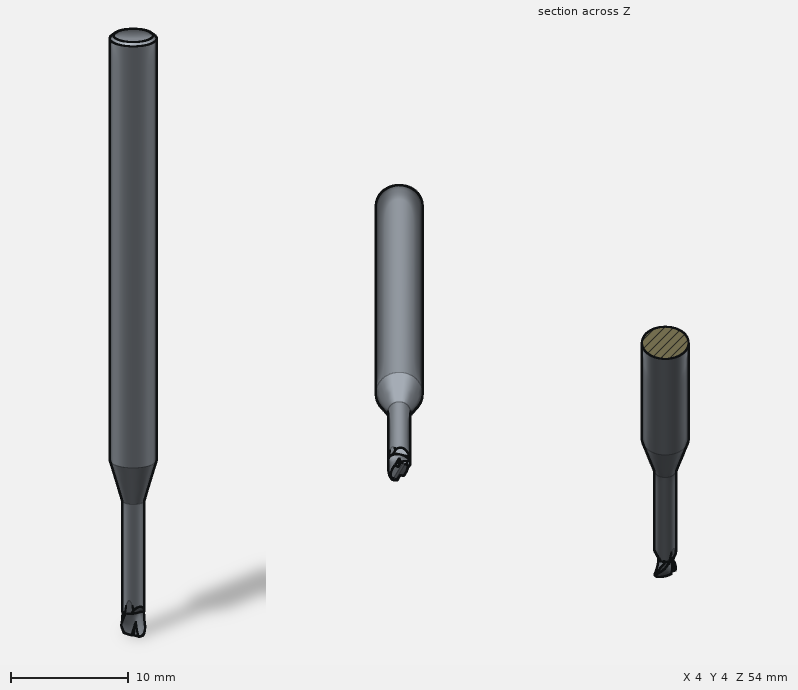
import cadquery as cq
import math

TOTAL_LENGTH = 54.0
SHANK_RADIUS = 2.0
END_CHAMFER_WIDTH = 0.3
END_CHAMFER_HEIGHT = 0.25
TAPER_TOP = 15.7
TAPER_BOTTOM = 12.05
NECK_RADIUS = 0.945

HEAD_HEIGHT = 2.1
HEAD_RADIUS = 1.1
CORNER_RADIUS = 0.3
LAND_HEIGHT = 0.55
LAND_TAPER_END = 1.3
WEB_HALF_THICKNESS = 0.6
HEAD_TWIST = 75.0
TIP_RIDGE_HALF_WIDTH = 0.1
TIP_SLOPE_RISE = 0.25
GASH_DEPTH_FROM_AXIS = 0.25
GASH_INNER_LOW = 0.25
GASH_INNER_HIGH = 0.55
GASH_HEIGHT = 1.3

FLUTE_RUNOUT_TOP = 2.75
FLUTE_RUNOUT_ANGLE = HEAD_TWIST - 90.0
FACET_TOP = 3.35
FACET_DEPTH = 0.1
FACET_ANGLE = -70.0


def runout_cutter(inner_radius, top_height, angle):
    """Wedge that leans outward from inner_radius until it leaves the neck at top_height."""
    wedge = (
        cq.Workplane("XZ")
        .moveTo(inner_radius, HEAD_HEIGHT)
        .lineTo(NECK_RADIUS, top_height)
        .lineTo(NECK_RADIUS, HEAD_HEIGHT)
        .close()
        .extrude(NECK_RADIUS, both=True)
    )
    return wedge.rotate((0, 0, 0), (0, 0, 1), angle)


def make_shank():
    """Round shank, taper and neck, with two opposite sets of flute run-outs."""
    shank = (
        cq.Workplane("XZ")
        .moveTo(0, HEAD_HEIGHT)
        .lineTo(NECK_RADIUS, HEAD_HEIGHT)
        .lineTo(NECK_RADIUS, TAPER_BOTTOM)
        .lineTo(SHANK_RADIUS, TAPER_TOP)
        .lineTo(SHANK_RADIUS, TOTAL_LENGTH - END_CHAMFER_HEIGHT)
        .lineTo(SHANK_RADIUS - END_CHAMFER_WIDTH, TOTAL_LENGTH)
        .lineTo(0, TOTAL_LENGTH)
        .close()
        .revolve(360, (0, 0, 0), (0, 1, 0))
    )
    for turn in (0.0, 180.0):
        shank = shank.cut(runout_cutter(WEB_HALF_THICKNESS, FLUTE_RUNOUT_TOP, FLUTE_RUNOUT_ANGLE + turn))
        shank = shank.cut(runout_cutter(NECK_RADIUS - FACET_DEPTH, FACET_TOP, FACET_ANGLE + turn))
    return shank


def make_head_envelope():
    """Turned outline of the head: rounded corner, cylindrical land and tapered back."""
    corner_offset = CORNER_RADIUS * math.sqrt(0.5)
    arc_middle = (HEAD_RADIUS - CORNER_RADIUS + corner_offset, CORNER_RADIUS - corner_offset)
    return (
        cq.Workplane("XZ")
        .lineTo(HEAD_RADIUS - CORNER_RADIUS, 0)
        .threePointArc(arc_middle, (HEAD_RADIUS, CORNER_RADIUS))
        .lineTo(HEAD_RADIUS, LAND_HEIGHT)
        .lineTo(NECK_RADIUS, LAND_TAPER_END)
        .lineTo(NECK_RADIUS, HEAD_HEIGHT)
        .lineTo(0, HEAD_HEIGHT)
        .close()
        .revolve(360, (0, 0, 0), (0, 1, 0))
    )


def make_tip_roof():
    """Prism along X whose underside rises to both sides of a narrow ridge."""
    return (
        cq.Workplane("YZ")
        .moveTo(-TIP_RIDGE_HALF_WIDTH, 0)
        .lineTo(TIP_RIDGE_HALF_WIDTH, 0)
        .lineTo(HEAD_RADIUS, TIP_SLOPE_RISE)
        .lineTo(HEAD_RADIUS, HEAD_HEIGHT)
        .lineTo(-HEAD_RADIUS, HEAD_HEIGHT)
        .lineTo(-HEAD_RADIUS, TIP_SLOPE_RISE)
        .close()
        .extrude(HEAD_RADIUS, both=True)
    )


def make_gash_cutter():
    """Relief in front of one cutting edge, with a slanting inner wall."""
    return (
        cq.Workplane("XZ")
        .workplane(offset=GASH_DEPTH_FROM_AXIS)
        .moveTo(GASH_INNER_LOW, 0)
        .lineTo(GASH_INNER_HIGH, GASH_HEIGHT)
        .lineTo(HEAD_RADIUS, GASH_HEIGHT)
        .lineTo(HEAD_RADIUS, 0)
        .close()
        .extrude(HEAD_RADIUS)
    )


def make_head():
    """Two-edged cutting head: a lens-shaped web twisted about the axis."""
    web = (
        cq.Workplane("XY")
        .moveTo(-HEAD_RADIUS, 0)
        .threePointArc((0, -WEB_HALF_THICKNESS), (HEAD_RADIUS, 0))
        .threePointArc((0, WEB_HALF_THICKNESS), (-HEAD_RADIUS, 0))
        .close()
        .twistExtrude(HEAD_HEIGHT, HEAD_TWIST)
    )
    head = web.intersect(make_head_envelope()).intersect(make_tip_roof())
    for turn in (0.0, 180.0):
        head = head.cut(make_gash_cutter().rotate((0, 0, 0), (0, 0, 1), turn))
    return head


shank = make_shank()
head = make_head()
result = cq.Compound.makeCompound([shank.solids().val(), head.solids().val()])